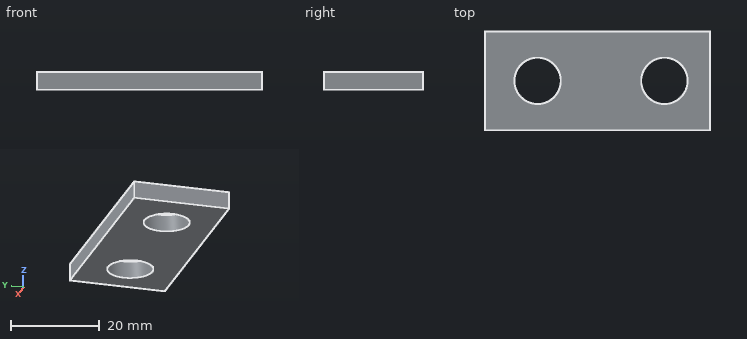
import cadquery as cq

length = 50.8
width = 22.35
thickness = 4.0

hole_diameter = 10.4
hole_spacing = 28.6
first_hole_from_end = 11.9

first_hole_x = first_hole_from_end - length / 2
hole_centres = [(first_hole_x, 0), (first_hole_x + hole_spacing, 0)]

plate = cq.Workplane("XY").box(length, width, thickness)
result = plate.faces(">Z").workplane().pushPoints(hole_centres).hole(hole_diameter)